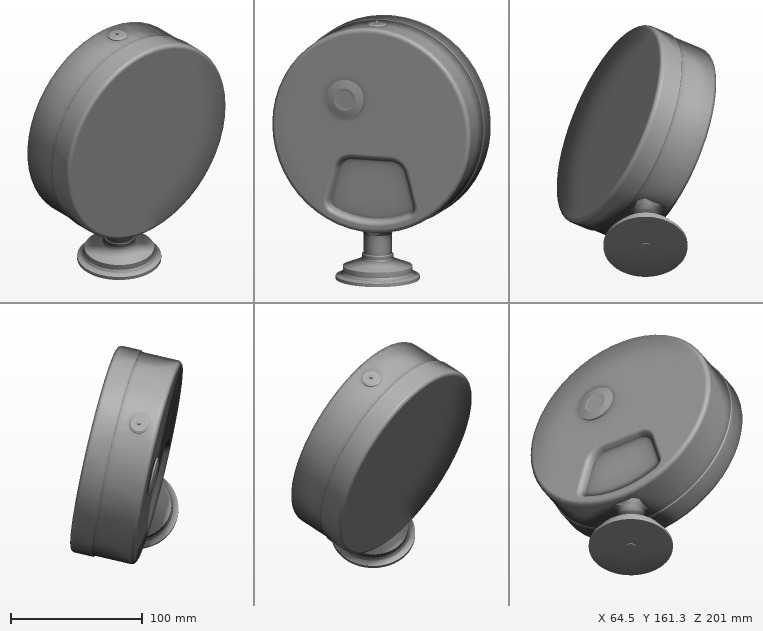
import cadquery as cq
import math


overlap = 2.0
pick_margin = 1.0

drum_z = 118.5
body_radius = 159.0 / 2
rim_radius = 161.3 / 2
face_x = -17.5
rim_start_x = 14.3
rim_front_chamfer = 0.6
back_x = 32.5
face_round = 3.5
back_round = 3.0

foot_radius = 64.0 / 2
step_radius = 53.0 / 2
collar_radius = 24.0 / 2
neck_radius = 21.5 / 2
pad_radius = 4.2
pad_height = 0.6
foot_top_z = 3.2
flare_radius = 28.0
flare_z = 4.6
step_bottom_z = 6.5
step_top_z = 10.7
cone_top_z = 15.9
cone_top_radius = 12.9
collar_bottom_z = 17.3
collar_top_z = 20.5
collar_round = 0.8

head_bottom_z = 35.8
head_x = 21.7
head_y = 22.5
head_top_z = drum_z - body_radius + overlap
head_cone_slope = 1.7

button_y = 20.0
button_z = 142.2
button_radius = 30.0 / 2
button_edge_height = 1.2
button_height = 2.5
button_top_radius = 8.6
dome_bulge = 0.6
dish_radius = 6.6
dish_depth = 0.2

knob_x = -2.0
knob_radius = 15.0 / 2
knob_top_z = 199.0
knob_chamfer_height = 0.6
knob_chamfer_width = 1.5
pin_radius = 2.5 / 2
pin_top_z = 201.0
pin_round = 0.6

pocket_depth = 5.2
pocket_rim_round = 3.2
pocket_floor_round = 1.2
pocket_wall_draft = 30
pocket_top_z = 98.1
pocket_top_half_width = 26.5
pocket_side_angle = 14.8
pocket_bottom_radius = 72.0
pocket_top_corner = 14.3
pocket_bottom_corner = 8.2


def cylinder_up(radius, bottom_z, top_z, x=0):
    return cq.Workplane("XY", origin=(x, 0, bottom_z)).circle(radius).extrude(top_z - bottom_z)


def disc_along_x(radius, start_x, end_x):
    return cq.Workplane("YZ", origin=(start_x, 0, drum_z)).circle(radius).extrude(end_x - start_x)


def make_drum():
    body = disc_along_x(body_radius, face_x, rim_start_x).faces("<X").edges().fillet(face_round)
    rim = disc_along_x(rim_radius, rim_start_x, back_x).faces(">X").edges().fillet(back_round)
    rim = rim.faces("<X").edges().chamfer(rim_front_chamfer)
    return body.union(rim)


def make_pocket():
    top = pocket_top_z - drum_z
    slope = math.tan(math.radians(pocket_side_angle))
    axis_half_width = pocket_top_half_width + slope * top
    a = 1 + slope**2
    b = -2 * slope * axis_half_width
    c = axis_half_width**2 - pocket_bottom_radius**2
    bottom = (-b - math.sqrt(b**2 - 4 * a * c)) / (2 * a)
    bottom_half_width = axis_half_width - slope * bottom
    pocket = (
        cq.Workplane("YZ", origin=(face_x, 0, drum_z))
        .moveTo(-pocket_top_half_width, top)
        .lineTo(pocket_top_half_width, top)
        .lineTo(bottom_half_width, bottom)
        .threePointArc((0, -pocket_bottom_radius), (-bottom_half_width, bottom))
        .close()
        .extrude(pocket_depth)
    )
    pocket = pocket.edges("|X and >Z").fillet(pocket_top_corner)
    bottom_corners = cq.selectors.BoxSelector(
        (face_x, -body_radius, drum_z + bottom - pick_margin),
        (face_x + pocket_depth, body_radius, drum_z + bottom + pick_margin),
    )
    pocket = pocket.edges(bottom_corners).edges("|X").fillet(pocket_bottom_corner)
    outline = pocket.faces("<X").wires().val()
    pocket = cq.Workplane("YZ", origin=(face_x, 0, drum_z)).add(outline).toPending()
    pocket = pocket.extrude(pocket_depth, taper=pocket_wall_draft)
    return pocket.faces(">X").edges().fillet(pocket_floor_round)


def cut_pocket(drum):
    drum = drum.cut(make_pocket())
    mouth = cq.selectors.BoxSelector(
        (face_x - pick_margin, -body_radius / 2, drum_z - pocket_bottom_radius - pick_margin),
        (face_x + pick_margin, body_radius / 2, pocket_top_z + pick_margin),
    )
    return drum.edges(mouth).fillet(pocket_rim_round)


def make_button():
    middle_radius = (button_radius + button_top_radius) / 2
    middle_height = button_edge_height + dome_bulge * (button_height - button_edge_height)
    plane = cq.Plane(origin=(face_x, button_y, button_z), xDir=(0, 1, 0), normal=(0, 0, 1))
    return (
        cq.Workplane(plane)
        .moveTo(0, -overlap)
        .lineTo(button_radius, -overlap)
        .lineTo(button_radius, button_edge_height)
        .threePointArc((middle_radius, middle_height), (button_top_radius, button_height))
        .lineTo(dish_radius, button_height - dish_depth)
        .lineTo(0, button_height - dish_depth)
        .close()
        .revolve(360, (0, 0), (0, 1))
    )


def make_knob():
    knob = cylinder_up(knob_radius, drum_z + body_radius - overlap, knob_top_z, knob_x)
    knob = knob.faces(">Z").chamfer(knob_chamfer_height, knob_chamfer_width)
    pin = cylinder_up(pin_radius, knob_top_z - pin_round, pin_top_z, knob_x)
    return knob.union(pin.faces(">Z").edges().fillet(pin_round))


def make_stand():
    return (
        cq.Workplane("XZ")
        .lineTo(pad_radius, 0)
        .lineTo(pad_radius, pad_height)
        .lineTo(foot_radius, pad_height)
        .lineTo(foot_radius, foot_top_z)
        .lineTo(flare_radius, flare_z)
        .lineTo(step_radius, step_bottom_z)
        .lineTo(step_radius, step_top_z)
        .lineTo(cone_top_radius, cone_top_z)
        .lineTo(collar_radius, collar_bottom_z)
        .lineTo(collar_radius, collar_top_z - collar_round)
        .radiusArc((collar_radius - collar_round, collar_top_z), -collar_round)
        .lineTo(neck_radius, collar_top_z)
        .lineTo(neck_radius, head_bottom_z)
        .lineTo(0, head_bottom_z)
        .close()
        .revolve(360, (0, 0), (0, 1))
    )


def make_head():
    height = head_top_z - head_bottom_z
    block = cq.Workplane("XY", origin=(0, 0, head_bottom_z)).rect(head_x, head_y).extrude(height)
    cone = cq.Solid.makeCone(
        neck_radius, neck_radius + height / head_cone_slope, height, cq.Vector(0, 0, head_bottom_z)
    )
    return block.intersect(cq.Workplane(cone))


drum = cut_pocket(make_drum())
result = drum.union(make_button()).union(make_knob()).union(make_head()).union(make_stand())